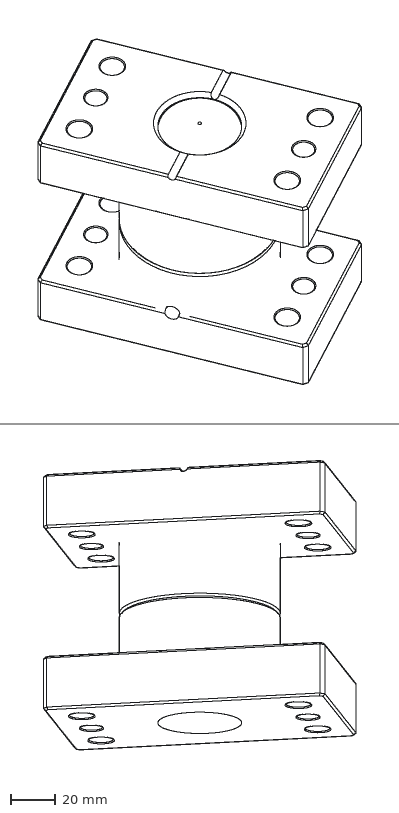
import cadquery as cq
import math

length = 130.0
width = 75.0
plate_thickness = 25.0
corner_chamfer = 2.0
edge_chamfer = 1.0

total_height = 110.0
split_height = 50.0
boss_diameter = 72.9
boss_radius = boss_diameter / 2
boss_foot_fillet = 1.0
boss_rim_chamfer = 1.0

hole_spacing_x = 100.0
hole_spacing_y = 22.0
outer_hole_diameter = 11.0
middle_hole_diameter = 10.0
hole_chamfer = 0.5

post_radius = 19.0
post_top_fillet = 4.0
bore_countersink = 2.0
centre_mark_radius = 0.8
centre_mark_angle = 60.0

side_hole_radius = 3.4
side_hole_height = plate_thickness
post_groove_depth = 1.0
post_groove_floor_width = 5.5

channel_radius = 2.0


def revolve_profile(points):
    """Solid of revolution about Z from (radius, height) points."""
    return (
        cq.Workplane("XZ")
        .polyline(points).close()
        .revolve(360, (0, 0, 0), (0, 1, 0))
    )


def make_plate_hole(diameter):
    """Cutter for a hole through a plate, chamfered at both mouths."""
    radius = diameter / 2
    mouth_radius = radius + hole_chamfer
    return revolve_profile([
        (0, 0),
        (mouth_radius, 0),
        (radius, hole_chamfer),
        (radius, plate_thickness - hole_chamfer),
        (mouth_radius, plate_thickness),
        (0, plate_thickness),
    ])


def make_half(boss_height):
    """Plate with its outer face at Z = 0, a boss standing on it and a bore through both."""
    plate = (
        cq.Workplane("XY")
        .box(length, width, plate_thickness, centered=(True, True, False))
        .edges("|Z").chamfer(corner_chamfer)
        .faces("<Z or >Z").edges().chamfer(edge_chamfer)
    )
    boss = (
        cq.Workplane("XY")
        .circle(boss_radius).extrude(plate_thickness + boss_height)
        .faces(">Z").edges().chamfer(boss_rim_chamfer)
    )
    half = plate.union(boss)
    half = half.edges("%CIRCLE").edges("<Z").fillet(boss_foot_fillet)

    for x in (-hole_spacing_x / 2, hole_spacing_x / 2):
        for y in (-hole_spacing_y, 0, hole_spacing_y):
            diameter = middle_hole_diameter if y == 0 else outer_hole_diameter
            half = half.cut(make_plate_hole(diameter).translate((x, y, 0)))

    bore = cq.Workplane("XY").circle(post_radius).extrude(total_height)
    return half.cut(bore)


def make_lower_half():
    """Lower plate and boss, with a hole from the -Y side into the bore."""
    side_hole = (
        cq.Workplane("XZ", origin=(0, 0, side_hole_height))
        .circle(side_hole_radius).extrude(width / 2)
    )
    return make_half(split_height - plate_thickness).cut(side_hole)


def make_upper_half():
    """Upper plate and hanging boss, with a countersunk bore and a channel across the top."""
    boss_height = total_height - split_height - plate_thickness
    half = (
        make_half(boss_height)
        .rotate((0, 0, 0), (1, 0, 0), 180)
        .translate((0, 0, total_height))
    )
    countersink = revolve_profile([
        (0, total_height - bore_countersink),
        (post_radius, total_height - bore_countersink),
        (post_radius + bore_countersink, total_height),
        (0, total_height),
    ])
    channel = (
        cq.Workplane("XZ", origin=(0, 0, total_height))
        .circle(channel_radius).extrude(width / 2, both=True)
    )
    return half.cut(countersink).cut(channel)


def make_post():
    """Guide post through both halves, with a rounded top and a groove at the side hole."""
    mark_depth = centre_mark_radius / math.tan(math.radians(centre_mark_angle / 2))
    centre_mark = revolve_profile([
        (0, total_height - mark_depth),
        (centre_mark_radius, total_height),
        (0, total_height),
    ])
    floor_radius = post_radius - post_groove_depth
    floor_half = post_groove_floor_width / 2
    mouth_half = floor_half + post_groove_depth
    post = revolve_profile([
        (0, 0),
        (post_radius, 0),
        (post_radius, side_hole_height - mouth_half),
        (floor_radius, side_hole_height - floor_half),
        (floor_radius, side_hole_height + floor_half),
        (post_radius, side_hole_height + mouth_half),
        (post_radius, total_height),
        (0, total_height),
    ])
    return post.faces(">Z").edges().fillet(post_top_fillet).cut(centre_mark)


lower_half = make_lower_half().solids()
upper_half = make_upper_half().solids()
post = make_post().solids()

result = cq.Compound.makeCompound([lower_half.val(), upper_half.val(), post.val()])